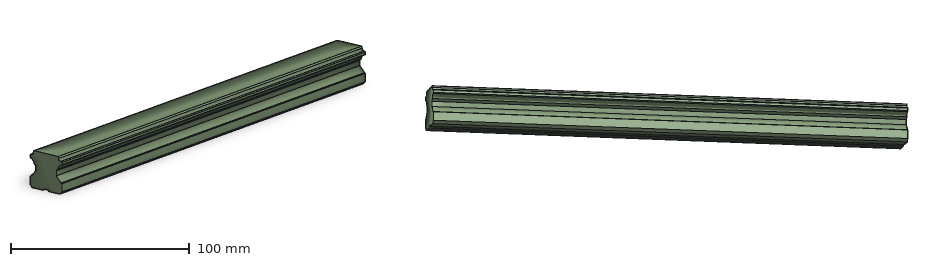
import cadquery as cq

length = 270.0
width = 23.0
height = 22.0

top_width = 17.5
top_bevel_width = 18.4
top_bevel_height = 20.8
land_top = 19.0
land_bottom = 17.5
land_bevel_width = 21.5
land_bevel_rise = 0.5
upper_track_sag = 0.68
lower_track_width = 17.3
lower_track_height = 14.5
lower_track_sag = 0.5

waist_width = 14.8
waist_top = 13.2
waist_bottom = 10.3

ledge_width = 16.2
ledge_height = 9.5
shoulder_width = 21.5
shoulder_height = 6.8
side_top = 6.5
foot_chamfer = 1.5
relief_mouth_width = 4.3
relief_floor_width = 2.7
relief_depth = 0.8


def half_section():
    """Right half of the rail section, closed along the centre plane."""
    side = width / 2
    return (
        cq.Workplane("XZ", origin=(0, length / 2, 0))
        .moveTo(0, relief_depth)
        .lineTo(relief_floor_width / 2, relief_depth)
        .lineTo(relief_mouth_width / 2, 0)
        .lineTo(side - foot_chamfer, 0)
        .lineTo(side, foot_chamfer)
        .lineTo(side, side_top)
        .lineTo(shoulder_width / 2, shoulder_height)
        .lineTo(ledge_width / 2, ledge_height)
        .lineTo(waist_width / 2, waist_bottom)
        .lineTo(waist_width / 2, waist_top)
        .lineTo(lower_track_width / 2, lower_track_height)
        .sagittaArc((land_bevel_width / 2, land_bottom - land_bevel_rise), lower_track_sag)
        .lineTo(side, land_bottom)
        .lineTo(side, land_top)
        .lineTo(land_bevel_width / 2, land_top + land_bevel_rise)
        .sagittaArc((top_bevel_width / 2, top_bevel_height), upper_track_sag)
        .lineTo(top_width / 2, height)
        .lineTo(0, height)
        .close()
    )


half_rail = half_section().extrude(length)
result = half_rail.union(half_rail.mirror("YZ")).clean()